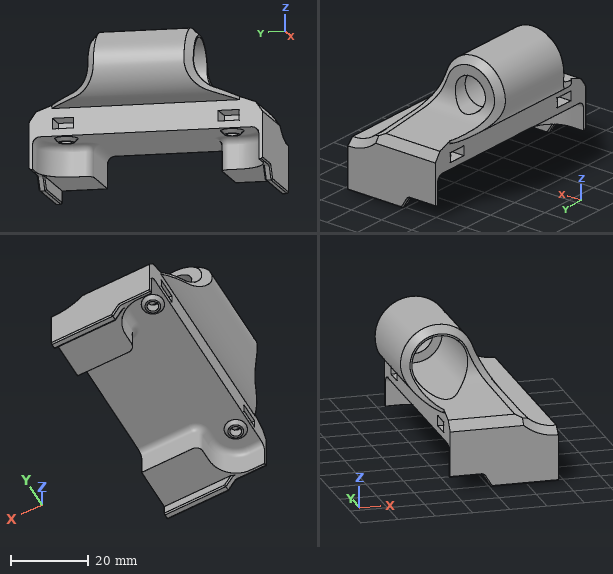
import cadquery as cq
import math

length = 62.0
half_length = length / 2
tube_radius = 10.0
tube_half_length = 14.0
bore_diameter = 10.0
recess_diameter = 15.0
recess_floor_y = 10.0
edge_chamfer = 2.0

front_x = -2.05
back_x = 27.05
back_top_z = -14.45
blend_joint = (18.3, -10.85)
tube_tangent_x = 9.3
base_z = -25.55
bottom_z = -29.0

shoulder_radius = 7.0
shoulder_angle = math.radians(20)

lip_thickness = 2.0
lip_start_x = 6.8
lip_slope_end_x = 9.0
lip_corner_radius = 1.0
lip_chamfer = 0.4

ceiling_z = -17.05
screw_x = 2.0
screw_y = 22.0
end_wall = 1.0
pocket_radius = half_length - end_wall - screw_y
leg_face_x = screw_x + pocket_radius
leg_inner_y = 17.0
leg_corner_radius = 2.0
ceiling_fillet = 2.0

slot_width = 5.6
slot_height = 2.8
slot_bottom_z = -15.1
slot_depth = screw_x - front_x + slot_width / 2
boss_diameter = 6.0
boss_height = 1.0
screw_hole_diameter = 3.0

margin = 6.2
tolerance = 0.005


def side_prism(prism_half_length):
    """Tube and blended foot outline, extruded along Y."""
    tube_front_z = -math.sqrt(tube_radius**2 - front_x**2)
    tangent_z = math.sqrt(tube_radius**2 - tube_tangent_x**2)
    return (
        cq.Workplane("XZ", origin=(0, prism_half_length, 0))
        .moveTo(front_x, base_z)
        .lineTo(front_x, tube_front_z)
        .threePointArc((-tube_radius, 0), (0, tube_radius))
        .tangentArcPoint((tube_tangent_x, tangent_z), relative=False)
        .tangentArcPoint(blend_joint, relative=False)
        .tangentArcPoint((back_x, back_top_z), relative=False)
        .lineTo(back_x, base_z)
        .close()
        .extrude(2 * prism_half_length)
    )


def shoulder_prism(prism_half_length):
    """Tube and sloping shoulder outline, extruded along X."""
    blend_end_y = tube_half_length + shoulder_radius * (1 - math.sin(shoulder_angle))
    blend_end_z = -shoulder_radius * math.cos(shoulder_angle)
    mid_angle = (math.pi / 2 - shoulder_angle) / 2
    blend_mid_y = tube_half_length + shoulder_radius * (1 - math.cos(mid_angle))
    blend_mid_z = -shoulder_radius * math.sin(mid_angle)
    end_z = blend_end_z - (prism_half_length - blend_end_y) * math.tan(shoulder_angle)
    half = (
        cq.Workplane("YZ", origin=(-tube_radius - margin, 0, 0))
        .moveTo(0, base_z)
        .lineTo(prism_half_length, base_z)
        .lineTo(prism_half_length, end_z)
        .lineTo(blend_end_y, blend_end_z)
        .threePointArc((blend_mid_y, blend_mid_z), (tube_half_length, 0))
        .lineTo(tube_half_length, tube_radius + margin)
        .lineTo(0, tube_radius + margin)
        .close()
        .extrude(back_x + tube_radius + 2 * margin)
    )
    return half.union(half.mirror("XZ"))


def chamfered_tube():
    """Tube, blend and overlong shoulders, with the outline edge chamfered all the way round."""
    overlong = half_length + edge_chamfer
    body = side_prism(overlong).intersect(shoulder_prism(overlong))
    outline = [
        edge for edge in body.edges().vals()
        if edge.geomType() != "LINE" and abs(edge.Center().y) < overlong - tolerance
    ]
    return body.newObject(outline).chamfer(edge_chamfer)


def chamfered_ends():
    """Envelope with chamfers along the top of both ends."""
    side = side_prism(half_length)
    blend_edges = [
        edge for edge in side.faces("<Y or >Y").edges("%CIRCLE").vals()
        if edge.Center().x > tube_tangent_x
    ]
    side = side.newObject(blend_edges).chamfer(edge_chamfer)
    shoulders = shoulder_prism(half_length)
    top_edges = [
        edge for edge in shoulders.edges("|X").vals()
        if abs(edge.Center().y) > half_length - tolerance and edge.Center().z > ceiling_z
    ]
    return side.intersect(shoulders.newObject(top_edges).chamfer(edge_chamfer))


def lip(inner_y):
    """Strip along the bottom of one end that drops below the legs, with chamfered bottom edges."""
    root_z = base_z + lip_thickness
    plate = (
        cq.Workplane("XZ", origin=(0, inner_y + lip_thickness, 0))
        .moveTo(front_x, root_z)
        .lineTo(front_x, base_z)
        .lineTo(lip_start_x, base_z)
        .lineTo(lip_slope_end_x, bottom_z)
        .lineTo(back_x, bottom_z)
        .lineTo(back_x, root_z)
        .close()
        .extrude(lip_thickness)
    )
    slope_root = cq.selectors.NearestToPointSelector((lip_start_x, inner_y + lip_thickness / 2, base_z))
    plate = plate.edges("|Y").edges(slope_root).fillet(lip_corner_radius)
    bottom_edges = [
        edge for edge in plate.faces("<Y or >Y").edges().vals()
        if edge.Center().z < base_z + tolerance and edge.BoundingBox().xmin < back_x - tolerance
    ]
    return plate.newObject(bottom_edges).chamfer(lip_chamfer)


def underside_space():
    """Open space between the legs, with round pockets facing the front."""
    front_end_x = front_x - margin
    diagonal = math.sqrt(0.5)
    corner_x = leg_face_x + leg_corner_radius
    corner_y = leg_inner_y + leg_corner_radius
    half = (
        cq.Workplane("XY", origin=(0, 0, ceiling_z))
        .moveTo(front_end_x, 0)
        .lineTo(front_end_x, half_length - end_wall)
        .lineTo(screw_x, half_length - end_wall)
        .threePointArc(
            (screw_x + pocket_radius * diagonal, screw_y + pocket_radius * diagonal),
            (leg_face_x, screw_y),
        )
        .lineTo(leg_face_x, corner_y)
        .threePointArc(
            (corner_x - leg_corner_radius * diagonal, corner_y - leg_corner_radius * diagonal),
            (corner_x, leg_inner_y),
        )
        .lineTo(back_x + margin, leg_inner_y)
        .lineTo(back_x + margin, 0)
        .close()
        .extrude(bottom_z - ceiling_z)
    )
    space = half.union(half.mirror("XZ"))
    return space.faces(">Z").edges("not |Y").fillet(ceiling_fillet)


def nut_slot(y):
    """Rectangular slot entering from the front face and ending just behind the screw."""
    return (
        cq.Workplane("XY")
        .box(slot_depth, slot_width, slot_height, centered=(False, True, False))
        .translate((front_x, y, slot_bottom_z))
    )


def boss(y):
    """Short 45 degree cone standing down from the ceiling."""
    return (
        cq.Workplane("XY", origin=(screw_x, y, ceiling_z))
        .circle(boss_diameter / 2)
        .workplane(offset=-boss_height)
        .circle(boss_diameter / 2 - boss_height)
        .loft()
    )


def screw_hole(y):
    """Hole from the boss tip up into the nut slot."""
    tip_z = ceiling_z - boss_height
    return (
        cq.Workplane("XY", origin=(screw_x, y, tip_z))
        .circle(screw_hole_diameter / 2)
        .extrude(slot_bottom_z - tip_z)
    )


result = chamfered_tube().intersect(chamfered_ends())
result = result.faces("<Z").edges("<Y or >Y").chamfer(lip_chamfer)
result = result.union(lip(half_length - lip_thickness))
result = result.union(lip(-half_length))

result = result.cut(underside_space())
for y in (-screw_y, screw_y):
    result = result.cut(nut_slot(y)).union(boss(y)).cut(screw_hole(y))

through_bore = cq.Workplane("XZ", origin=(0, half_length, 0)).circle(bore_diameter / 2).extrude(length)
recess = cq.Workplane("XZ", origin=(0, recess_floor_y, 0)).circle(recess_diameter / 2).extrude(length)
result = result.cut(through_bore).cut(recess)